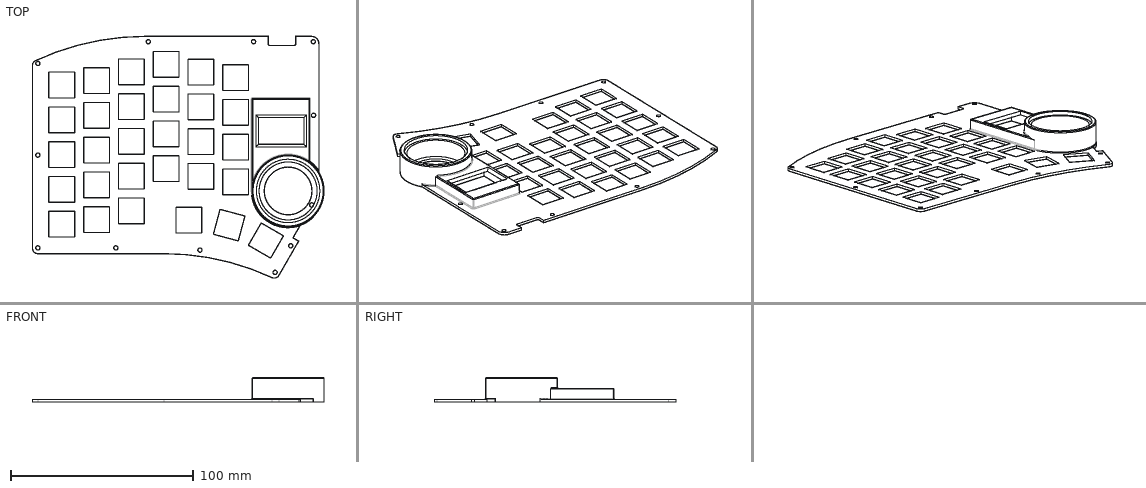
import cadquery as cq
import math

plate_length = 157.1
plate_top_y = 132.65
plate_bottom_y = 13.4
plate_thickness = 1.5
corner_radius = 3.0
back_right_corner_radius = 4.2

shoulder_arc_start_x = 62.0
shoulder_arc_radius = 143.0
thumb_arc_start_x = 72.0
thumb_arc_radius = 140.6

thumb_end_angle = 60.0
thumb_corner = (146.0, 20.35)
thumb_step = 3.6

notch_left_x = 129.3
notch_width = 15.0
notch_depth = 5.0
notch_corner_radius = 0.8

key_size = 14.0
key_pitch = 19.05
first_column_x = 16.1
columns = [(29.7, 5), (32.1, 5), (36.9, 5), (60.05, 4), (55.85, 4), (52.8, 4)]
thumb_keys = [(85.8, 31.9, 0.0), (107.85, 29.1, -15.0), (128.0, 20.65, -30.0)]

screw_diameter = 2.2
screw_points = [
    (3.0, 16.6),
    (3.0, 67.5),
    (3.0, 117.7),
    (63.55, 129.65),
    (121.2, 129.65),
    (154.0, 129.65),
    (154.1, 89.3),
    (153.1, 40.15),
    (141.6, 17.75),
    (133.0, 3.2),
    (91.85, 15.4),
    (45.75, 16.6),
]

base_fillet = 0.5
top_chamfer = 0.5
edge_tolerance = 0.01

cup_diameter = 39.45
cup_height = 13.5
part_right_x = 159.89
cup_center = (part_right_x - cup_diameter / 2, 47.85)
cup_bore_diameter = 31.8
cup_recess_diameter = 34.8
cup_recess_depth = 2.0
cup_hole_diameter = 26.0
cup_rim_ledge = 0.25
cup_rim_radius = cup_diameter / 2 + cup_rim_ledge
cup_rim_end_x = 154.0

housing_left_x = cup_center[0] - cup_diameter / 2
housing_right_x = 152.0
housing_back_y = 98.5
housing_height = 7.5
housing_corner_radius = 0.5
housing_wall = 1.5
slab_margin = 10.0

window_center = (136.35, 80.75)
window_size = (24.8, 14.5)


def shoulder_y(x):
    """Position in Y of the arc over the top-left shoulder."""
    rise = math.sqrt(shoulder_arc_radius**2 - (shoulder_arc_start_x - x) ** 2)
    return plate_top_y - shoulder_arc_radius + rise


def thumb_arc_y(x):
    """Position in Y of the arc under the thumb keys."""
    rise = math.sqrt(thumb_arc_radius**2 - (x - thumb_arc_start_x) ** 2)
    return plate_bottom_y - thumb_arc_radius + rise


def ray_to_circle(start, angle, center, radius):
    """First point where a ray, leaving start at angle (radians), meets a circle."""
    to_center_x = center[0] - start[0]
    to_center_y = center[1] - start[1]
    along = to_center_x * math.cos(angle) + to_center_y * math.sin(angle)
    across = to_center_y * math.cos(angle) - to_center_x * math.sin(angle)
    travel = along - math.sqrt(radius**2 - across**2)
    return (start[0] + travel * math.cos(angle), start[1] + travel * math.sin(angle))


def cup_rim_y(x):
    """Position in Y of the lower half of the plate edge that follows the cup."""
    return cup_center[1] - math.sqrt(cup_rim_radius**2 - (x - cup_center[0]) ** 2)


def make_plate(height):
    """Plate outline with rounded corners, raised to the given height."""
    end_angle = math.radians(thumb_end_angle)
    thumb_arc_center = (thumb_arc_start_x, plate_bottom_y - thumb_arc_radius)
    tip = ray_to_circle(thumb_corner, end_angle + math.pi, thumb_arc_center, thumb_arc_radius)
    step_corner = (
        thumb_corner[0] - thumb_step * math.sin(end_angle),
        thumb_corner[1] + thumb_step * math.cos(end_angle),
    )
    rim_start = ray_to_circle(step_corner, end_angle, cup_center, cup_rim_radius)
    rim_mid_x = (rim_start[0] + cup_rim_end_x) / 2
    shoulder_mid_x = shoulder_arc_start_x / 2
    thumb_mid_x = (thumb_arc_start_x + tip[0]) / 2
    plate = (
        cq.Workplane("XY")
        .moveTo(0, plate_bottom_y)
        .lineTo(thumb_arc_start_x, plate_bottom_y)
        .threePointArc((thumb_mid_x, thumb_arc_y(thumb_mid_x)), tip)
        .lineTo(*thumb_corner)
        .lineTo(*step_corner)
        .lineTo(*rim_start)
        .threePointArc((rim_mid_x, cup_rim_y(rim_mid_x)), (cup_rim_end_x, cup_rim_y(cup_rim_end_x)))
        .lineTo(*cup_center)
        .lineTo(plate_length, cup_center[1])
        .lineTo(plate_length, plate_top_y)
        .lineTo(shoulder_arc_start_x, plate_top_y)
        .threePointArc((shoulder_mid_x, shoulder_y(shoulder_mid_x)), (0, shoulder_y(0)))
        .close()
        .extrude(height)
    )
    corners = [
        (0, plate_bottom_y, corner_radius),
        (*tip, corner_radius),
        (plate_length, plate_top_y, back_right_corner_radius),
        (0, shoulder_y(0), corner_radius),
    ]
    for x, y, radius in corners:
        corner_edge = cq.selectors.NearestToPointSelector((x, y, height / 2))
        plate = plate.edges("|Z").edges(corner_edge).fillet(radius)
    return plate


def notch_cutter():
    return (
        cq.Workplane("XY")
        .rect(notch_width, 2 * notch_depth)
        .extrude(plate_thickness)
        .edges("|Z")
        .fillet(notch_corner_radius)
        .translate((notch_left_x + notch_width / 2, plate_top_y, 0))
    )


def key_cutter(x, y, rotation):
    cutter = cq.Workplane("XY").rect(key_size, key_size).extrude(plate_thickness)
    return cutter.rotate((0, 0, 0), (0, 0, 1), rotation).translate((x, y, 0))


def cut_keys(body):
    for index, (lowest_y, count) in enumerate(columns):
        for row in range(count):
            x = first_column_x + index * key_pitch
            y = lowest_y + row * key_pitch
            body = body.cut(key_cutter(x, y, 0))
    for x, y, rotation in thumb_keys:
        body = body.cut(key_cutter(x, y, rotation))
    return body


def make_housing():
    length = housing_back_y - cup_center[1]
    return (
        cq.Workplane("XY")
        .rect(housing_right_x - housing_left_x, length)
        .extrude(housing_height)
        .edges("|Z and >Y")
        .fillet(housing_corner_radius)
        .faces(">Z")
        .chamfer(top_chamfer)
        .translate(((housing_left_x + housing_right_x) / 2, housing_back_y - length / 2, 0))
    )


def cavity_cutter():
    """Space under the housing roof, open at the bottom, from the back wall to the cup."""
    left = housing_left_x + housing_wall
    right = housing_right_x - housing_wall
    back = housing_back_y - housing_wall
    front = cup_center[1] + cup_diameter / 2
    return (
        cq.Workplane("XY")
        .rect(right - left, back - front)
        .extrude(housing_height - housing_wall)
        .translate(((left + right) / 2, (back + front) / 2, 0))
    )


def window_cutter():
    """Opening through the housing roof, widening upward at 45 degrees on all sides."""
    width, depth = window_size
    return (
        cq.Workplane("XY")
        .workplane(offset=housing_height - housing_wall)
        .rect(width, depth)
        .workplane(offset=housing_wall)
        .rect(width + 2 * housing_wall, depth + 2 * housing_wall)
        .loft(combine=True)
        .translate((*window_center, 0))
    )


def cylinder(diameter, bottom, top):
    return (
        cq.Workplane("XY")
        .workplane(offset=bottom)
        .center(*cup_center)
        .circle(diameter / 2)
        .extrude(top - bottom)
    )


def make_cup():
    return cylinder(cup_diameter, 0, cup_height).faces(">Z").chamfer(top_chamfer)


def edges_near_cup(z):
    """Selector for edges centred at height z around the cup and the housing."""
    x, y = cup_center
    reach = housing_back_y - y + slab_margin / 2
    return cq.selectors.BoxSelector(
        (x - reach, y - reach, z - edge_tolerance),
        (x + reach, y + reach, z + edge_tolerance),
    )


def make_raised_parts():
    """Housing and cup, flared by fillets where they rise from the plate and from each other."""
    slab_size = 2 * (housing_back_y - cup_center[1] + slab_margin)
    slab = (
        cq.Workplane("XY")
        .rect(slab_size, slab_size)
        .extrude(plate_thickness)
        .translate((*cup_center, 0))
    )
    cup = make_cup()
    raised = make_housing().union(cup)
    raised = raised.edges("%CIRCLE").edges(edges_near_cup(housing_height)).fillet(base_fillet)
    flared = slab.union(raised).edges(edges_near_cup(plate_thickness)).fillet(base_fillet)
    return flared.intersect(make_plate(cup_height).union(cup))


def cut_cup_bores(body):
    bore = cylinder(cup_bore_diameter, plate_thickness, cup_height)
    recess = cylinder(cup_recess_diameter, cup_height - cup_recess_depth, cup_height)
    hole = cylinder(cup_hole_diameter, 0, plate_thickness)
    return body.cut(bore).cut(recess).cut(hole)


def cut_screw_holes(body):
    holes = cq.Workplane("XY").pushPoints(screw_points).circle(screw_diameter / 2).extrude(plate_thickness)
    return body.cut(holes)


result = make_plate(plate_thickness).union(make_raised_parts())
result = result.cut(notch_cutter()).cut(cavity_cutter()).cut(window_cutter())
result = cut_keys(result)
result = cut_screw_holes(cut_cup_bores(result))